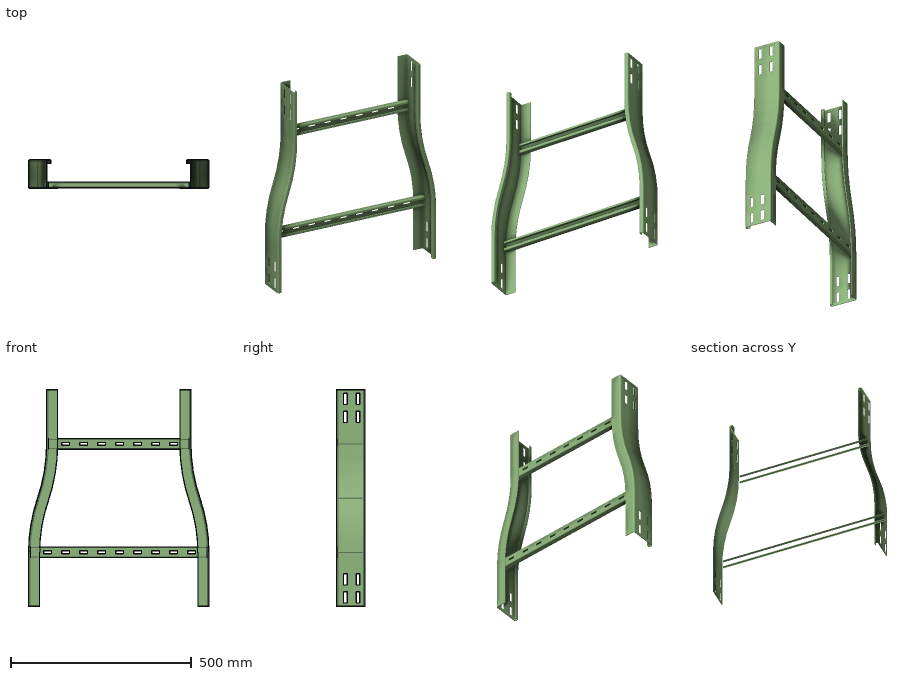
import cadquery as cq
import math

height = 600.0
bottom_width = 500.0
top_width = 400.0
depth = 80.0

sheet = 2.0

rail_bend = 5.0
lip_bend = 2.5
front_flange = 31.0
back_flange = 12.0
back_lip = 10.0
straight_length = height / 4
side_shift = (bottom_width - top_width) / 2

rail_slot_length = 30.5
rail_slot_width = 9.5
slot_end_offset = 25.0
slot_row_pitch = 50.0
slot_column_depths = (25.0, 60.0)

rung_height = 30.0
rung_depth = 16.0
rung_lip = 7.0
rung_bend = 2.5
rung_end_inset = 5.5
rung_slot_length = 20.5
rung_slot_width = 7.0
rung_slot_pitch = 50.0
rung_slot_shift = 2.5


def rounded_outline(plane, corners):
    """Closed outline of right-angled corners given as (x, y, radius); zero radius stays sharp."""
    outline = cq.Workplane(plane)
    for index, (x, y, radius) in enumerate(corners):
        corner = cq.Vector(x, y)
        before = corners[index - 1]
        after = corners[(index + 1) % len(corners)]
        to_before = (cq.Vector(before[0], before[1]) - corner).normalized()
        to_after = (cq.Vector(after[0], after[1]) - corner).normalized()
        arc_start = corner + to_before * radius
        if index == 0:
            outline = outline.moveTo(arc_start.x, arc_start.y)
        else:
            outline = outline.lineTo(arc_start.x, arc_start.y)
        if radius > 0:
            inward = to_before + to_after
            arc_middle = corner + inward * (radius * (1 - math.sqrt(0.5)))
            arc_end = corner + to_after * radius
            outline = outline.threePointArc((arc_middle.x, arc_middle.y), (arc_end.x, arc_end.y))
    return outline.close()


def rail_path():
    """Straight, S-bend of two equal arcs, straight; runs up the outer face of the left web."""
    half_rise = height / 2 - straight_length
    half_shift = side_shift / 2
    half_angle = math.atan(half_shift / half_rise)
    radius = half_rise / math.sin(2 * half_angle)
    sag_x = radius * (1 - math.cos(half_angle))
    sag_z = radius * math.sin(half_angle)
    bottom_x = -bottom_width / 2
    top_x = -top_width / 2
    return (
        cq.Workplane("XZ")
        .moveTo(bottom_x, 0)
        .lineTo(bottom_x, straight_length)
        .threePointArc(
            (bottom_x + sag_x, straight_length + sag_z),
            (bottom_x + half_shift, height / 2),
        )
        .threePointArc(
            (top_x - sag_x, height - straight_length - sag_z),
            (top_x, height - straight_length),
        )
        .lineTo(top_x, height)
    )


def rail_section():
    """Cross-section of the left rail at its bottom end."""
    outer = -bottom_width / 2
    lip_x = outer + back_flange
    lip_y = depth - back_lip
    inner_bend = rail_bend - sheet
    return rounded_outline("XY", [
        (outer + front_flange, 0, 0),
        (outer + front_flange, sheet, 0),
        (outer + sheet, sheet, inner_bend),
        (outer + sheet, depth - sheet, inner_bend),
        (lip_x - sheet, depth - sheet, lip_bend - sheet),
        (lip_x - sheet, lip_y, 0),
        (lip_x, lip_y, 0),
        (lip_x, depth, lip_bend),
        (outer, depth, rail_bend),
        (outer, 0, rail_bend),
    ])


def rail_slot_cutters():
    """Blocks through both webs at the straight ends."""
    lower_rows = [slot_end_offset + row * slot_row_pitch for row in range(2)]
    rows = lower_rows + [height - z for z in lower_rows]
    centres = [(y, z) for y in slot_column_depths for z in rows]
    return (
        cq.Workplane("YZ")
        .pushPoints(centres)
        .rect(rail_slot_width, rail_slot_length)
        .extrude(bottom_width / 2, both=True)
    )


def make_rail(side):
    """Left rail for side -1, its mirror image for side +1."""
    rail = rail_section().sweep(rail_path()).cut(rail_slot_cutters())
    return rail if side < 0 else rail.mirror("YZ")


def make_rung(centre_z, ladder_width, slot_count):
    """Channel with a gap between its back lips, and a row of slots through its front face."""
    length = ladder_width - 2 * rung_end_inset
    front = sheet
    back = front + rung_depth
    low = centre_z - rung_height / 2
    high = centre_z + rung_height / 2
    inner_bend = rung_bend - sheet
    channel = rounded_outline("YZ", [
        (back, low, rung_bend),
        (back, low + rung_lip, 0),
        (back - sheet, low + rung_lip, 0),
        (back - sheet, low + sheet, inner_bend),
        (front + sheet, low + sheet, inner_bend),
        (front + sheet, high - sheet, inner_bend),
        (back - sheet, high - sheet, inner_bend),
        (back - sheet, high - rung_lip, 0),
        (back, high - rung_lip, 0),
        (back, high, rung_bend),
        (front, high, rung_bend),
        (front, low, rung_bend),
    ]).extrude(length / 2, both=True)
    slots = (
        cq.Workplane("XZ")
        .center(rung_slot_shift, centre_z)
        .rarray(rung_slot_pitch, 6, slot_count, 1)
        .rect(rung_slot_length, rung_slot_width)
        .extrude(-back)
    )
    return channel.cut(slots)


rails = [make_rail(side) for side in (-1, 1)]
rungs = [
    make_rung(straight_length, bottom_width, 9),
    make_rung(height - straight_length, top_width, 7),
]

result = cq.Compound.makeCompound([body.solids().val() for body in rails + rungs])